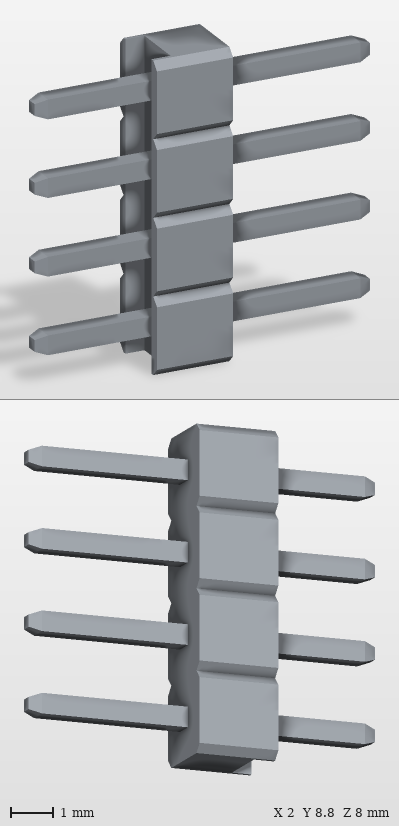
import cadquery as cq

MODULE_COUNT = 4
STACK_HEIGHT = 8.0
PIN_LENGTH = 8.8
PIN_SIDE = 0.5
TIP_SIDE = 0.3
TIP_LENGTH = 0.3
BACK_PIN_LENGTH = 4.0
CORNER_CHAMFER = 0.2
SLOT_WIDTH = 1.4
SLOT_DEPTH = 0.5

PITCH = STACK_HEIGHT / MODULE_COUNT
BLOCK_SIDE = PITCH
PIN_BACK_Y = PIN_LENGTH / 2
PIN_FRONT_Y = -PIN_LENGTH / 2
BLOCK_BACK_Y = PIN_BACK_Y - BACK_PIN_LENGTH
BLOCK_FRONT_Y = BLOCK_BACK_Y - BLOCK_SIDE


def make_block():
    """Insulator cube with chamfered long edges and a channel across its front face."""
    block = (
        cq.Workplane("XY")
        .box(BLOCK_SIDE, BLOCK_SIDE, BLOCK_SIDE, centered=(True, False, True))
        .edges("|Y")
        .chamfer(CORNER_CHAMFER)
    )
    slot = cq.Workplane("XY").box(SLOT_WIDTH, SLOT_DEPTH, BLOCK_SIDE, centered=(True, False, True))
    return block.cut(slot).translate((0, BLOCK_FRONT_Y, 0))


def make_tip(base_y, end_y):
    """Square taper from the full pin section at base_y to the small end face at end_y."""
    outward = 1 if end_y > base_y else -1
    base_plane = cq.Plane(origin=(0, base_y, 0), xDir=(1, 0, 0), normal=(0, outward, 0))
    return (
        cq.Workplane(base_plane)
        .rect(PIN_SIDE, PIN_SIDE)
        .workplane(offset=abs(end_y - base_y))
        .rect(TIP_SIDE, TIP_SIDE)
        .loft(ruled=True)
    )


def make_pin():
    """Square pin along Y, tapered at both ends."""
    shank = cq.Workplane("XY").box(PIN_SIDE, PIN_LENGTH - 2 * TIP_LENGTH, PIN_SIDE)
    back_tip = make_tip(PIN_BACK_Y - TIP_LENGTH, PIN_BACK_Y)
    front_tip = make_tip(PIN_FRONT_Y + TIP_LENGTH, PIN_FRONT_Y)
    return shank.union(back_tip).union(front_tip)


def make_module(center_z):
    """One header position: block and pin formed as a single solid."""
    return make_block().union(make_pin()).translate((0, 0, center_z))


modules = []
for index in range(MODULE_COUNT):
    center_z = (index - (MODULE_COUNT - 1) / 2) * PITCH
    modules.append(make_module(center_z))

result = cq.Compound.makeCompound([module.solids().val() for module in modules])